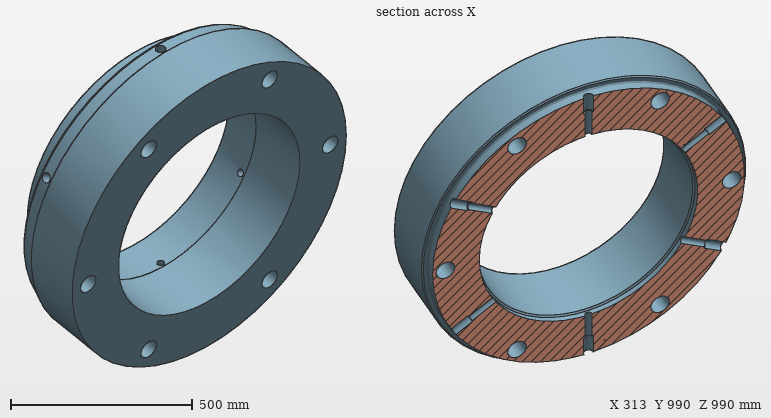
import cadquery as cq
import math

length = 313.0
body_diameter = 990
flange_diameter = 954.0
spigot_diameter = 792
flange_start = 81.0
body_start = 134.0

bore_diameter = 655.0
front_bore_diameter = 666.0
front_bore_depth = 121.0
bore_step_length = 4.0

spigot_chamfer = 3.0
flange_chamfer_length = 6.0
flange_chamfer_height = 3.0
body_chamfer = 4.0
bore_chamfer = 2.0
spigot_root_fillet = 3.0
flange_root_fillet = 3.0

hole_count = 6
axial_hole_diameter = 55.0
axial_hole_circle = 874.0
radial_hole_x = 105.0
radial_hole_diameter = 21.0
radial_mouth_diameter = 29.0
radial_mouth_depth = 59


def fillet_midpoint(x, radius, size):
    """Middle of the concave arc in the corner where a cylinder meets a face at x."""
    inset = size * (1 - math.sqrt(0.5))
    return (x - inset, radius + inset)


def stepped_ring():
    """Revolve the half section of the ring about the X axis."""
    body_radius = body_diameter / 2
    flange_radius = flange_diameter / 2
    spigot_radius = spigot_diameter / 2
    bore_radius = bore_diameter / 2
    front_bore_radius = front_bore_diameter / 2
    section = (
        cq.Workplane("XY")
        .moveTo(0, front_bore_radius + bore_chamfer)
        .lineTo(0, spigot_radius - spigot_chamfer)
        .lineTo(spigot_chamfer, spigot_radius)
        .lineTo(flange_start - spigot_root_fillet, spigot_radius)
        .threePointArc(
            fillet_midpoint(flange_start, spigot_radius, spigot_root_fillet),
            (flange_start, spigot_radius + spigot_root_fillet),
        )
        .lineTo(flange_start, flange_radius - flange_chamfer_height)
        .lineTo(flange_start + flange_chamfer_length, flange_radius)
        .lineTo(body_start - flange_root_fillet, flange_radius)
        .threePointArc(
            fillet_midpoint(body_start, flange_radius, flange_root_fillet),
            (body_start, flange_radius + flange_root_fillet),
        )
        .lineTo(body_start, body_radius - body_chamfer)
        .lineTo(body_start + body_chamfer, body_radius)
        .lineTo(length, body_radius)
        .lineTo(length, bore_radius)
        .lineTo(front_bore_depth + bore_step_length, bore_radius)
        .lineTo(front_bore_depth, front_bore_radius)
        .lineTo(bore_chamfer, front_bore_radius)
        .close()
    )
    return section.revolve(360, (0, 0, 0), (1, 0, 0))


def axial_holes():
    """Through holes parallel to the axis, the first on the +Y side."""
    return (
        cq.Workplane("YZ")
        .polarArray(axial_hole_circle / 2, 0, 360, hole_count)
        .circle(axial_hole_diameter / 2)
        .extrude(length)
    )


def radial_hole(angle):
    """Stepped hole from the flange rim to the bore, turned about X from +Z."""
    outer_radius = body_diameter / 2
    mouth_floor = flange_diameter / 2 - radial_mouth_depth
    center = cq.Workplane("XY").center(radial_hole_x, 0)
    drill = center.circle(radial_hole_diameter / 2).extrude(outer_radius)
    mouth = (
        center.workplane(offset=mouth_floor)
        .circle(radial_mouth_diameter / 2)
        .extrude(outer_radius - mouth_floor)
    )
    return drill.union(mouth).rotate((0, 0, 0), (1, 0, 0), angle)


result = stepped_ring().cut(axial_holes())
for index in range(hole_count):
    result = result.cut(radial_hole(index * 360 / hole_count))